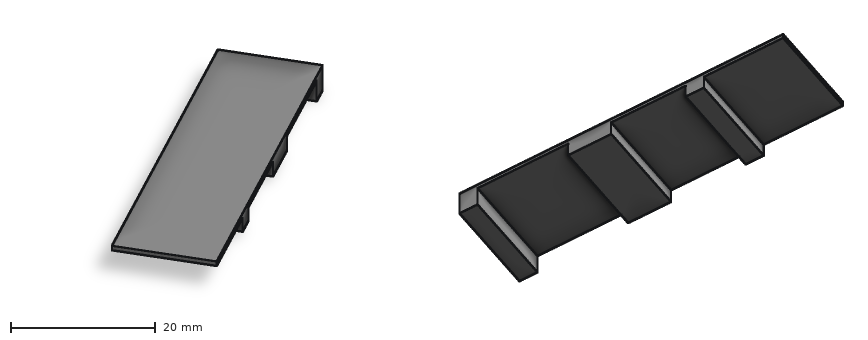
import cadquery as cq

length = 53.55
width = 15.05
height = 4.1
plate_thickness = 0.75

end_bar = (0.0, 3.0, height)
middle_bar = (18.0, 7.1, 3.15)
small_bar = (37.4, 3.0, 3.0)


def block(start, size_y, depth):
    """Full-width block hanging from the top face, starting a given distance from the +Y end."""
    center_y = length / 2 - start - size_y / 2
    return (
        cq.Workplane("XY")
        .box(width, size_y, depth, centered=(True, True, False))
        .translate((0, center_y, height - depth))
    )


result = block(0.0, length, plate_thickness)
for bar in (end_bar, middle_bar, small_bar):
    result = result.union(block(*bar))